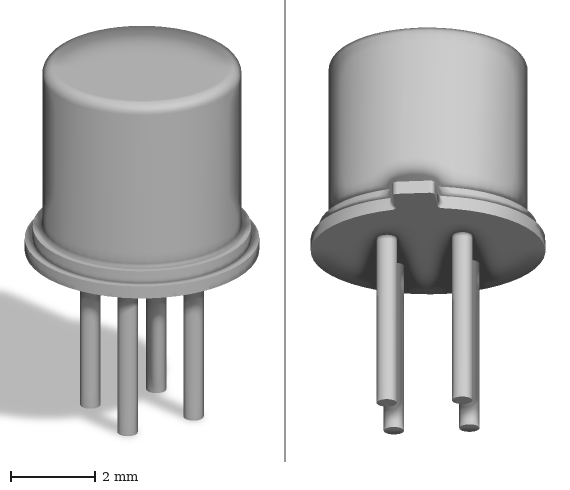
import cadquery as cq
import math

flange_radius = 2.78
flange_thickness = 0.31
tab_width = 1.0
tab_reach = 3.73
tab_corner_radius = 0.127
tab_angle = 135

step_radius = 2.59
step_height = 0.31
cap_radius = 2.36
cap_top_z = 4.84
cap_top_fillet = 0.25
cap_base_fillet = 0.09

lead_count = 4
lead_diameter = 0.48
lead_circle_radius = 1.27
lead_length = 4.19

step_top_z = flange_thickness + step_height


def make_flange():
    """Round flange with a rounded rectangular tab blended into its rim."""
    disc = cq.Workplane("XY").circle(flange_radius).extrude(flange_thickness)
    tab = (
        cq.Workplane("XY")
        .rect(tab_reach, tab_width)
        .extrude(flange_thickness)
        .translate((tab_reach / 2, 0, 0))
        .edges("|Z and >X")
        .fillet(tab_corner_radius)
    )
    root_x = math.sqrt(flange_radius**2 - (tab_width / 2) ** 2)
    root_box = cq.selectors.BoxSelector(
        (root_x - tab_corner_radius, -tab_width, -flange_thickness),
        (root_x + tab_corner_radius, tab_width, 2 * flange_thickness),
    )
    flange = disc.union(tab).edges("|Z").edges(root_box).fillet(tab_corner_radius)
    return flange.rotate((0, 0, 0), (0, 0, 1), tab_angle)


def make_can():
    """Revolved step and cap, with a rounded top rim and a small fillet at the foot."""
    diagonal = math.sqrt(0.5)
    foot_center_x = cap_radius + cap_base_fillet
    foot_center_z = step_top_z + cap_base_fillet
    rim_center_x = cap_radius - cap_top_fillet
    rim_center_z = cap_top_z - cap_top_fillet
    foot_middle = (
        foot_center_x - cap_base_fillet * diagonal,
        foot_center_z - cap_base_fillet * diagonal,
    )
    rim_middle = (
        rim_center_x + cap_top_fillet * diagonal,
        rim_center_z + cap_top_fillet * diagonal,
    )
    return (
        cq.Workplane("XZ")
        .moveTo(0, 0)
        .lineTo(step_radius, 0)
        .lineTo(step_radius, step_top_z)
        .lineTo(foot_center_x, step_top_z)
        .threePointArc(foot_middle, (cap_radius, foot_center_z))
        .lineTo(cap_radius, rim_center_z)
        .threePointArc(rim_middle, (rim_center_x, cap_top_z))
        .lineTo(0, cap_top_z)
        .close()
        .revolve(360, (0, 0, 0), (0, 1, 0))
    )


def make_leads():
    """Straight round leads, evenly spaced on a circle below the flange."""
    return (
        cq.Workplane("XY")
        .polarArray(lead_circle_radius, 0, 360, lead_count)
        .circle(lead_diameter / 2)
        .extrude(-lead_length)
    )


result = make_flange().union(make_can()).union(make_leads())